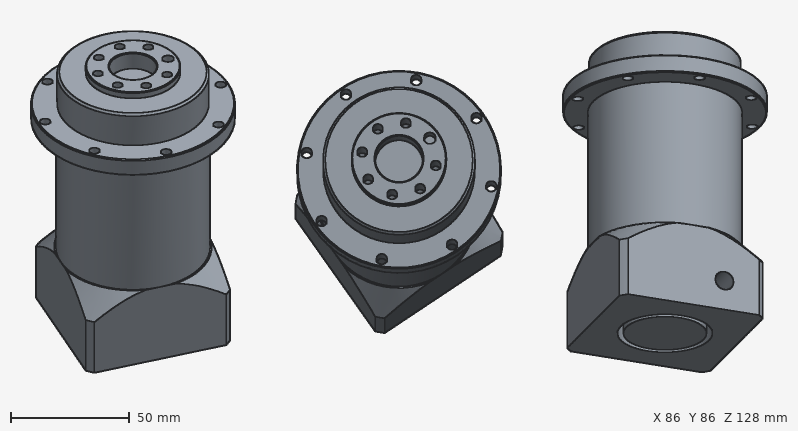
import cadquery as cq
import math

BASE_WIDTH = 65.0
BASE_CORNER_RADIUS = 44.0
SHOULDER_RADIUS = 33.2
BASE_HEIGHT = 36.5
SHOULDER_DROP = BASE_CORNER_RADIUS - SHOULDER_RADIUS

BODY_RADIUS = BASE_WIDTH / 2
FLANGE_RADIUS = 43.0
PILOT_RADIUS = 32.0
OUTPUT_RADIUS = 20.0
TOTAL_HEIGHT = 128.0
OUTPUT_RISE = 3.0
PILOT_TOP = TOTAL_HEIGHT - OUTPUT_RISE
FLANGE_THICKNESS = 8.0
PILOT_RISE = 15.75
FLANGE_TOP = PILOT_TOP - PILOT_RISE
FLANGE_BOTTOM = FLANGE_TOP - FLANGE_THICKNESS

FLANGE_CHAMFER = 0.5
PILOT_CHAMFER = 1.0
OUTPUT_CHAMFER = 0.4
BORE_CHAMFER = 0.4

BORE_RADIUS = 10.0
BORE_DEPTH = 8.0
HOLE_COUNT = 8
HOLE_STEP = 360.0 / HOLE_COUNT
MOUNT_CIRCLE_RADIUS = 39.5
MOUNT_HOLE_RADIUS = 2.25
OUTPUT_CIRCLE_RADIUS = 15.75
SCREW_HOLE_RADIUS = 2.1
SCREW_HOLE_DEPTH = 10.0
DRILL_POINT_ANGLE = 118.0
PIN_ANGLE = 90.0
PIN_HOLE_RADIUS = 2.5
PIN_HOLE_DEPTH = 6.0
ACCESS_HOLE_RADIUS = 4.1
ACCESS_HOLE_Y = -14.0
ACCESS_HOLE_Z = 13.25

HUB_RADIUS = 17.5
GROOVE_RADIUS = 20.0
GROOVE_DEPTH = 25.0


def disc(radius, bottom, top):
    """Cylinder on the Z axis between two heights."""
    return cq.Workplane("XY").workplane(offset=bottom).circle(radius).extrude(top - bottom)


def revolved(profile):
    """Solid of revolution about the Z axis from (radius, height) points."""
    return cq.Workplane("XZ").polyline(profile).close().revolve(360, (0, 0), (0, 1))


def polar(radius, angle):
    """Point on a circle about the Z axis, with the angle in degrees from +X."""
    turn = math.radians(angle)
    return radius * math.cos(turn), radius * math.sin(turn)


def make_base():
    """Square block with turned corners and a conical shoulder."""
    block = cq.Workplane("XY").rect(BASE_WIDTH, BASE_WIDTH).extrude(BASE_HEIGHT)
    turned = disc(BASE_CORNER_RADIUS, 0, BASE_HEIGHT).faces(">Z").chamfer(SHOULDER_DROP)
    return block.intersect(turned)


def make_housing():
    """Body tube, mounting flange, pilot and output disc."""
    body = disc(BODY_RADIUS, BASE_HEIGHT, FLANGE_BOTTOM)
    flange = disc(FLANGE_RADIUS, FLANGE_BOTTOM, FLANGE_TOP).edges().chamfer(FLANGE_CHAMFER)
    pilot = disc(PILOT_RADIUS, FLANGE_TOP, PILOT_TOP).faces(">Z").chamfer(PILOT_CHAMFER)
    output = disc(OUTPUT_RADIUS, PILOT_TOP, TOTAL_HEIGHT).faces(">Z").chamfer(OUTPUT_CHAMFER)
    return body.union(flange).union(pilot).union(output)


def make_bore():
    """Blind centring bore in the output disc, with a chamfered mouth."""
    floor = TOTAL_HEIGHT - BORE_DEPTH
    mouth_radius = BORE_RADIUS + BORE_CHAMFER
    profile = [
        (0, floor),
        (BORE_RADIUS, floor),
        (BORE_RADIUS, TOTAL_HEIGHT - BORE_CHAMFER),
        (mouth_radius, TOTAL_HEIGHT),
        (0, TOTAL_HEIGHT),
    ]
    return revolved(profile)


def make_screw_hole(angle):
    """Blind drilled hole with a conical bottom in the output disc."""
    point_length = SCREW_HOLE_RADIUS / math.tan(math.radians(DRILL_POINT_ANGLE / 2))
    profile = [
        (0, TOTAL_HEIGHT),
        (SCREW_HOLE_RADIUS, TOTAL_HEIGHT),
        (SCREW_HOLE_RADIUS, TOTAL_HEIGHT - SCREW_HOLE_DEPTH),
        (0, TOTAL_HEIGHT - SCREW_HOLE_DEPTH - point_length),
    ]
    x, y = polar(OUTPUT_CIRCLE_RADIUS, angle)
    return revolved(profile).translate((x, y, 0))


def make_pin_hole():
    """Flat-bottomed dowel hole in the output disc."""
    x, y = polar(OUTPUT_CIRCLE_RADIUS, PIN_ANGLE)
    pin = disc(PIN_HOLE_RADIUS, TOTAL_HEIGHT - PIN_HOLE_DEPTH, TOTAL_HEIGHT)
    return pin.translate((x, y, 0))


def make_mount_hole(angle):
    """Through hole in the flange."""
    x, y = polar(MOUNT_CIRCLE_RADIUS, angle)
    return disc(MOUNT_HOLE_RADIUS, FLANGE_BOTTOM, FLANGE_TOP).translate((x, y, 0))


def make_access_hole():
    """Hole from the -X face of the base into the groove, stopping at the hub."""
    drill = (
        cq.Workplane("YZ", origin=(-BASE_WIDTH / 2, ACCESS_HOLE_Y, ACCESS_HOLE_Z))
        .circle(ACCESS_HOLE_RADIUS)
        .extrude(BASE_WIDTH / 2)
    )
    return drill.cut(disc(HUB_RADIUS, 0, BASE_HEIGHT))


def make_groove():
    """Annular clearance around the coupling hub."""
    return disc(GROOVE_RADIUS, 0, GROOVE_DEPTH).cut(disc(HUB_RADIUS, 0, GROOVE_DEPTH))


result = make_base().union(make_housing())
result = result.cut(make_bore()).cut(make_pin_hole())
result = result.cut(make_groove()).cut(make_access_hole())
for index in range(HOLE_COUNT):
    hole_angle = index * HOLE_STEP
    result = result.cut(make_mount_hole(hole_angle))
    if hole_angle != PIN_ANGLE:
        result = result.cut(make_screw_hole(hole_angle))